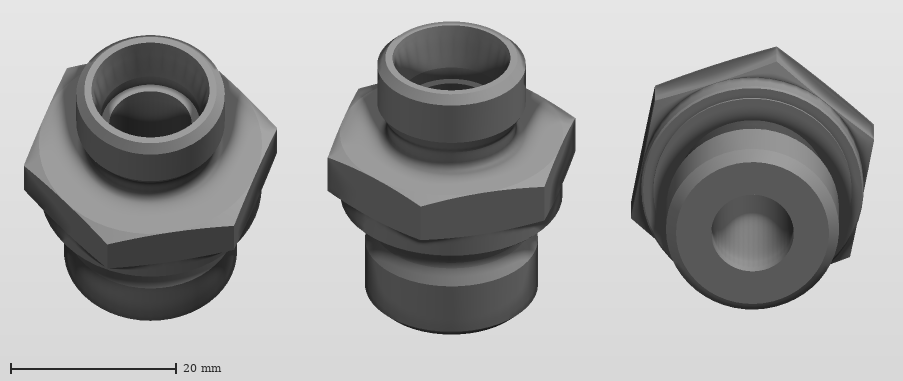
import cadquery as cq
import math

TOTAL_HEIGHT = 34
HEX_TOP = 23.0
HEX_BOTTOM = 17
FLANGE_BOTTOM = 14.0

HEX_FLATS = 27.0
HEX_CHAMFER_ANGLE = math.radians(15)
FLANGE_DIAMETER = 26.9
FLANGE_CHAMFER = 0.2

STUD_DIAMETER = 20.95
STUD_CHAMFER = 1.22
STUD_SHOULDER = 7.8
STUD_NECK_DIAMETER = 18.4
STUD_NECK_FILLET = 1.35

TUBE_END_DIAMETER = 18.0
TUBE_END_CHAMFER = 1.0
TUBE_END_SHOULDER = 27.6
TUBE_NECK_DIAMETER = 15.7
TUBE_NECK_FILLET = 0.55
HEX_ROOT_FILLET = 1.0
RELIEF_ANGLE = math.radians(30)

BORE_DIAMETER = 10.0
SOCKET_DIAMETER = 12.0
SOCKET_DEPTH = 7.0
CONE_MOUTH_DIAMETER = 14.28
CONE_HALF_ANGLE = math.radians(12)

SEAL_DIAMETER = 24.0
SEAL_GROOVE_DEPTH = 1.5
SEAL_PROTRUSION = 0.3


def cylinder(diameter, bottom, top):
    return cq.Workplane("XY").workplane(offset=bottom).circle(diameter / 2).extrude(top - bottom)


def revolve_profile(points):
    """Revolve a closed (radius, height) outline about the Z axis."""
    return cq.Workplane("XZ").polyline(points).close().revolve(360, (0, 0, 0), (0, 1, 0))


def relief_height(outer_diameter, neck_diameter):
    return (outer_diameter - neck_diameter) / 2 / math.tan(RELIEF_ANGLE)


def fillet_circle(body, diameter, height, radius):
    """Round the circular edge of the given diameter and height."""
    tolerance = 0.005
    reach = diameter / 2 + tolerance
    edge_zone = cq.selectors.BoxSelector(
        (-reach, -reach, height - tolerance), (reach, reach, height + tolerance), boundingbox=True
    )
    return body.edges(edge_zone).fillet(radius)


def make_hexagon():
    """Hexagon with flats facing +X and -X and corners chamfered on both faces."""
    across_corners = HEX_FLATS / math.cos(math.pi / 6)
    height = HEX_TOP - HEX_BOTTOM
    hexagon = (
        cq.Workplane("XY").workplane(offset=HEX_BOTTOM)
        .transformed(rotate=(0, 0, 90))
        .polygon(6, across_corners)
        .extrude(height)
    )
    flat_radius = HEX_FLATS / 2
    cone_drop = height / 2
    cone_radius = flat_radius + cone_drop / math.tan(HEX_CHAMFER_ANGLE)
    envelope = revolve_profile([
        (0, HEX_BOTTOM),
        (flat_radius, HEX_BOTTOM),
        (cone_radius, HEX_BOTTOM + cone_drop),
        (flat_radius, HEX_TOP),
        (0, HEX_TOP),
    ])
    return hexagon.intersect(envelope)


def make_flange():
    flange = cylinder(FLANGE_DIAMETER, FLANGE_BOTTOM, HEX_BOTTOM)
    return flange.faces("<Z").chamfer(FLANGE_CHAMFER)


def make_lower_stud():
    outer = STUD_DIAMETER / 2
    neck = STUD_NECK_DIAMETER / 2
    neck_bottom = STUD_SHOULDER + relief_height(STUD_DIAMETER, STUD_NECK_DIAMETER)
    stud = revolve_profile([
        (0, 0),
        (outer - STUD_CHAMFER, 0),
        (outer, STUD_CHAMFER),
        (outer, STUD_SHOULDER),
        (neck, neck_bottom),
        (neck, HEX_BOTTOM),
        (0, HEX_BOTTOM),
    ])
    return fillet_circle(stud, STUD_NECK_DIAMETER, neck_bottom, STUD_NECK_FILLET)


def make_tube_end():
    outer = TUBE_END_DIAMETER / 2
    neck = TUBE_NECK_DIAMETER / 2
    neck_top = TUBE_END_SHOULDER - relief_height(TUBE_END_DIAMETER, TUBE_NECK_DIAMETER)
    tube_end = revolve_profile([
        (0, HEX_TOP),
        (neck, HEX_TOP),
        (neck, neck_top),
        (outer, TUBE_END_SHOULDER),
        (outer, TOTAL_HEIGHT - TUBE_END_CHAMFER),
        (outer - TUBE_END_CHAMFER, TOTAL_HEIGHT),
        (0, TOTAL_HEIGHT),
    ])
    return fillet_circle(tube_end, TUBE_NECK_DIAMETER, neck_top, TUBE_NECK_FILLET)


def make_bore():
    """Through bore, tube socket and sealing cone, as one cutting volume."""
    socket_bottom = TOTAL_HEIGHT - SOCKET_DEPTH
    cone_depth = (CONE_MOUTH_DIAMETER - SOCKET_DIAMETER) / 2 / math.tan(CONE_HALF_ANGLE)
    return revolve_profile([
        (0, 0),
        (BORE_DIAMETER / 2, 0),
        (BORE_DIAMETER / 2, socket_bottom),
        (SOCKET_DIAMETER / 2, socket_bottom),
        (SOCKET_DIAMETER / 2, TOTAL_HEIGHT - cone_depth),
        (CONE_MOUTH_DIAMETER / 2, TOTAL_HEIGHT),
        (0, TOTAL_HEIGHT),
    ])


def make_ring(bottom, top):
    """Ring that fits around the neck of the lower stud."""
    return cylinder(SEAL_DIAMETER, bottom, top).cut(cylinder(STUD_NECK_DIAMETER, bottom, top))


def make_fitting():
    fitting = make_hexagon().union(make_tube_end())
    fitting = fillet_circle(fitting, TUBE_NECK_DIAMETER, HEX_TOP, HEX_ROOT_FILLET)
    fitting = fitting.union(make_flange()).union(make_lower_stud())
    seal_groove = make_ring(FLANGE_BOTTOM, FLANGE_BOTTOM + SEAL_GROOVE_DEPTH)
    return fitting.cut(make_bore()).cut(seal_groove)


def make_seal():
    return make_ring(FLANGE_BOTTOM - SEAL_PROTRUSION, FLANGE_BOTTOM + SEAL_GROOVE_DEPTH)


fitting = make_fitting()
seal = make_seal()
result = cq.Compound.makeCompound([*fitting.solids().vals(), seal.val()])